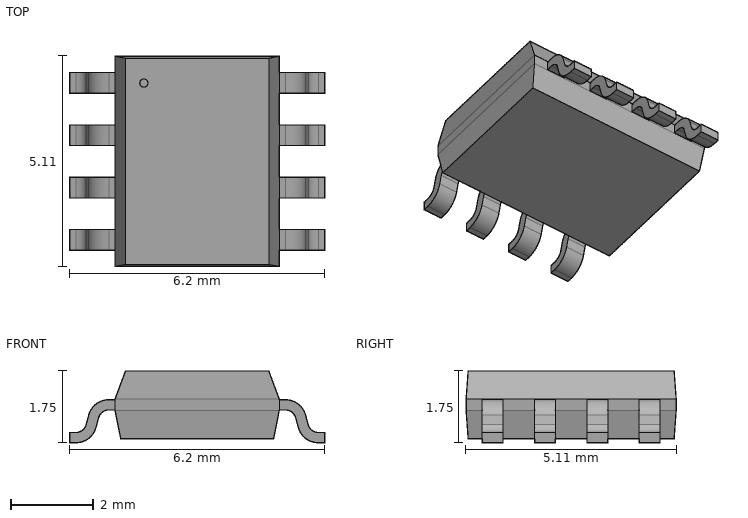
import cadquery as cq
import math

lead_span = 6.2
total_height = 1.75

housing_width = 3.99
housing_length = 5.11
standoff = 0.1
band_height = 0.285
upper_side_draft = 0.255
lower_side_draft = 0.135
end_draft = 0.05
band_centre_z = (standoff + total_height) / 2
band_bottom_z = band_centre_z - band_height / 2
taper_height = (total_height - standoff - band_height) / 2

leads_per_side = 4
lead_pitch = 1.27
lead_width = 0.51
lead_thickness = 0.255
foot_length = 0.155
bend_angle = math.radians(75)
inner_radius = 0.255
outer_radius = inner_radius + lead_thickness
lead_reach = (lead_span - housing_width) / 2
lead_rise = band_centre_z - lead_thickness / 2

marker_diameter = 0.2
marker_depth = 0.1
marker_side_inset = 0.445
marker_end_inset = 0.6
marker_x = -(housing_width / 2 - upper_side_draft - marker_side_inset)
marker_y = housing_length / 2 - end_draft - marker_end_inset


def make_marker():
    return (
        cq.Workplane("XY", origin=(marker_x, marker_y, total_height - marker_depth))
        .circle(marker_diameter / 2)
        .extrude(marker_depth)
    )


def make_tapered_half(start_z, rise, side_draft):
    """Frustum from the full housing outline at start_z to a smaller one."""
    return (
        cq.Workplane("XY", origin=(0, 0, start_z))
        .rect(housing_width, housing_length)
        .workplane(offset=rise)
        .rect(housing_width - 2 * side_draft, housing_length - 2 * end_draft)
        .loft(ruled=True)
    )


def make_housing():
    band = (
        cq.Workplane("XY", origin=(0, 0, band_bottom_z))
        .rect(housing_width, housing_length)
        .extrude(band_height)
    )
    upper = make_tapered_half(band_bottom_z + band_height, taper_height, upper_side_draft)
    lower = make_tapered_half(band_bottom_z, -taper_height, lower_side_draft)
    return band.union(upper).union(lower).cut(make_marker())


def make_lead(centre_y):
    """Lead on the -X side: foot, two opposite bends joined by a steep leg, shoulder."""
    bend_run = math.sin(bend_angle)
    bend_rise = 1 - math.cos(bend_angle)
    leg_rise = lead_rise - (inner_radius + outer_radius) * bend_rise
    leg_run = leg_rise / math.tan(bend_angle)
    bends_run = (inner_radius + outer_radius) * bend_run
    shoulder_length = lead_reach - foot_length - bends_run - leg_run
    inner_bend = (inner_radius * bend_run, inner_radius * bend_rise)
    outer_bend = (outer_radius * bend_run, outer_radius * bend_rise)
    outline = (
        cq.Workplane("XZ", origin=(0, centre_y + lead_width / 2, 0))
        .moveTo(-lead_span / 2, 0)
        .line(0, lead_thickness)
        .line(foot_length, 0)
        .tangentArcPoint(inner_bend)
        .line(leg_run, leg_rise)
        .tangentArcPoint(outer_bend)
        .line(shoulder_length, 0)
        .line(0, -lead_thickness)
        .line(-shoulder_length, 0)
        .tangentArcPoint((-inner_bend[0], -inner_bend[1]))
        .line(-leg_run, -leg_rise)
        .tangentArcPoint((-outer_bend[0], -outer_bend[1]))
        .close()
    )
    return outline.extrude(lead_width)


def make_leads():
    leads = []
    for index in range(leads_per_side):
        left_lead = make_lead((index - (leads_per_side - 1) / 2) * lead_pitch)
        right_lead = left_lead.mirror("YZ")
        leads += [left_lead.val(), right_lead.val()]
    return leads


housing = make_housing()
marker = make_marker()
leads = make_leads()

result = cq.Compound.makeCompound([housing.solids().val(), marker.val(), *leads])